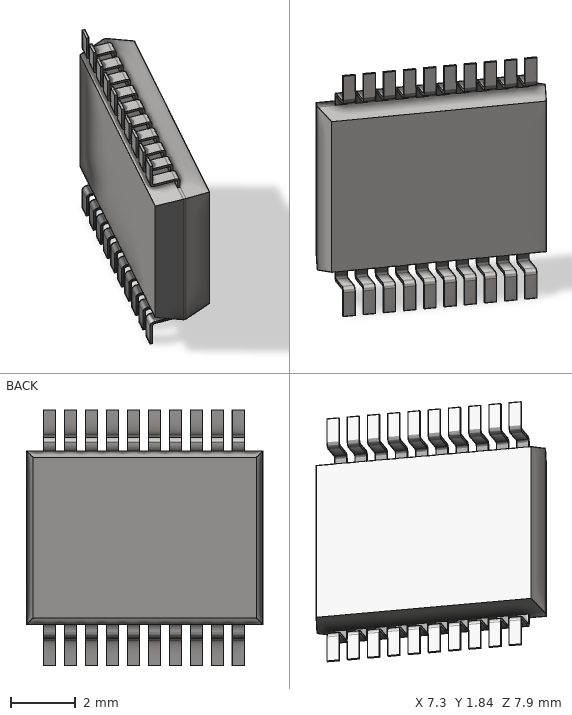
import cadquery as cq

lead_span = 7.9

body_width = 7.3
body_height = 5.365
body_thickness = 1.785
taper_inset = 0.205

leads_per_side = 10
lead_pitch = 0.65
lead_width = 0.38
lead_row_shift = 0.02
lead_thickness = 0.09
foot_length = 0.85
standoff = 0.055
inner_bend_radius = 0.07
embedded_length = 0.395

outer_bend_radius = inner_bend_radius + lead_thickness
band_thickness = lead_thickness
taper_depth = (body_thickness - band_thickness) / 2

foot_front = -body_thickness / 2 - standoff
foot_back = foot_front + lead_thickness
shank_front = -lead_thickness / 2
shank_back = lead_thickness / 2
tip_z = lead_span / 2
arm_outer_z = tip_z - foot_length
arm_inner_z = arm_outer_z - lead_thickness
root_z = body_height / 2 - embedded_length


def tapered_half(direction):
    """Half of the body, narrowing from the band to the flat face on the +Y or -Y side."""
    band_face = direction * band_thickness / 2
    return (
        cq.Workplane("XZ")
        .workplane(offset=-band_face)
        .rect(body_width, body_height)
        .workplane(offset=-direction * taper_depth)
        .rect(body_width - 2 * taper_inset, body_height - 2 * taper_inset)
        .loft(combine=True)
    )


def make_body():
    band = cq.Workplane("XY").box(body_width, band_thickness, body_height)
    return band.union(tapered_half(1)).union(tapered_half(-1))


def make_lead(x_centre):
    """One upper lead: a shank out of the body, an arm towards -Y and a foot pointing up."""
    profile = (
        cq.Workplane("YZ")
        .workplane(offset=x_centre - lead_width / 2)
        .moveTo(shank_front, root_z)
        .lineTo(shank_back, root_z)
        .lineTo(shank_back, arm_outer_z - outer_bend_radius)
        .radiusArc((shank_back - outer_bend_radius, arm_outer_z), -outer_bend_radius)
        .lineTo(foot_back + inner_bend_radius, arm_outer_z)
        .radiusArc((foot_back, arm_outer_z + inner_bend_radius), inner_bend_radius)
        .lineTo(foot_back, tip_z)
        .lineTo(foot_front, tip_z)
        .lineTo(foot_front, arm_inner_z + outer_bend_radius)
        .radiusArc((foot_front + outer_bend_radius, arm_inner_z), -outer_bend_radius)
        .lineTo(shank_front - inner_bend_radius, arm_inner_z)
        .radiusArc((shank_front, arm_inner_z - inner_bend_radius), inner_bend_radius)
        .close()
    )
    return profile.extrude(lead_width)


result = make_body()
for index in range(leads_per_side):
    lead_x = (index - (leads_per_side - 1) / 2) * lead_pitch + lead_row_shift
    upper_lead = make_lead(lead_x)
    lower_lead = upper_lead.mirror("XY")
    result = result.union(upper_lead).union(lower_lead)